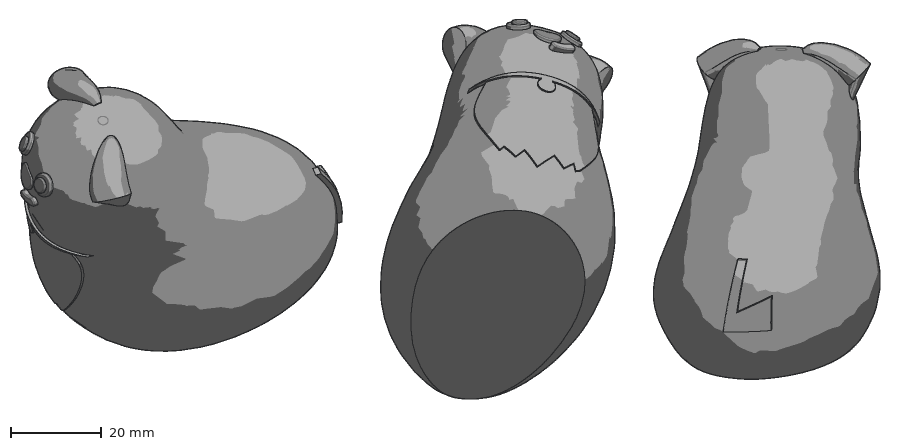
import cadquery as cq
import math

BODY_STATIONS = [
    (0.0, -23.8, -1.3, 30.4, 18.3, 1.92),
    (3.0, -26.6, -1.0, 32.5, 21.1, 1.95),
    (7.0, -29.2, -0.5, 34.4, 23.2, 1.98),
    (13.0, -31.7, -0.2, 35.4, 24.49, 2.1),
    (20.0, -33.0, -1.1, 34.8, 23.3, 2.15),
    (26.0, -33.4, -2.7, 32.0, 21.1, 2.2),
    (31.0, -33.7, -4.8, 27.8, 19.3, 2.2),
    (35.0, -34.1, -8.2, 21.0, 18.2, 2.2),
    (38.0, -34.4, -12.1, 13.0, 17.8, 2.2),
    (41.5, -34.9, -15.6, 6.2, 17.6, 2.2),
    (47.0, -35.2, -17.6, 2.3, 17.1, 2.2),
    (53.0, -33.9, -18.3, -0.6, 15.9, 2.2),
    (58.0, -30.5, -18.0, -3.9, 13.4, 2.2),
    (61.0, -26.9, -17.8, -7.6, 10.0, 2.15),
    (62.6, -22.9, -17.7, -11.8, 6.0, 2.1),
    (63.1, -18.6, -17.6, -16.4, 1.2, 2.0),
]
SECTION_POINTS = 16

FRONT_PLANE = -45.0
FRONT_REACH = 30.0
BACK_PLANE = 45.0
BACK_REACH = 20.0

BIB_RAISE = 0.3
BIB_HALF_WIDTH = 14.3
BIB_TOP_HALF_WIDTH = 12.3
BIB_TOP = 35.6
BIB_WIDEST = 25.5
BIB_HEM = 11.8
BIB_HEM_HALF_WIDTH = 9.3
BIB_RAGGED_HEM = [
    (-8.5, 12.6), (-5.8, 10.1), (-4.1, 11.8), (-0.8, 8.4),
    (2.7, 12.1), (5.3, 10.1), (7.5, 12.4), (8.2, 11.0),
]

COLLAR_RAISE = 0.6
COLLAR_HALF_WIDTH = 15.1
COLLAR_END = 36.1
COLLAR_TOP_MID = 35.7
COLLAR_BOTTOM_MID = 34.4
TAG_DIAMETER = 4.1
TAG_HEIGHT = 32.8
TAG_NECK_WIDTH = 2.0

TAIL_RAISE = 1.25
TAIL_OUTLINE = [
    (-1.2, 27.4), (0.8, 27.4), (3.3, 12.0),
    (-7.2, 12.5), (-7.2, 20.0), (0.2, 16.5),
]

EYE_CENTER = (6.0, -32.6, 53.2)
EYE_NORMAL = (0.3, -0.82, 0.44)
EYE_DIAMETER = 5.3
EYE_HEIGHT = 1.0
EYE_ROUND = 0.4
PUPIL_DIAMETER = 3.5
PUPIL_HEIGHT = 0.6
PUPIL_ROUND = 0.25
PUPIL_SHIFT = 0.3
PUPIL_DROP = 0.25
FACE_ROOT = 2.0

NOSE_CENTER = (0.0, -34.6, 49.4)
NOSE_NORMAL = (0.0, -0.95, 0.3)
NOSE_HALF_WIDTH = 3.2
NOSE_TOP = 2.2
NOSE_CORNER = 1.5
NOSE_HEIGHT = 0.75
NOSE_ROUND = 0.3

MOUTH_CENTER = (3.2, -34.94, 46.35)
MOUTH_NORMAL = (0.2, -0.97, 0.05)
MOUTH_HALF_SPAN = 2.2
MOUTH_SAG = 0.35
MOUTH_TILT = 23.0
MOUTH_WIDTH = 1.9
MOUTH_HEIGHT = 1.15
MOUTH_ROUND = 0.3

EAR_STATIONS = [
    ((5.0, -17.3, 62.7), (0.9, -0.2, 0.4), 1.0, 0.7),
    ((8.5, -18.6, 62.22), (1.0, -0.1, 0.1), 2.8, 2.5),
    ((13.0, -20.3, 59.9), (0.9, 0.0, -0.4), 4.2, 3.4),
    ((16.95, -20.6, 57.4), (0.7, 0.0, -0.7), 4.4, 3.3),
]
EAR_TIP = ((15.0, -17.6, 51.9), (0.1, 0.0, -1.0), 1.4, 0.9)


def superellipse_arm(ratio, squareness):
    """Signed coordinate of a unit superellipse from a sine or cosine."""
    return math.copysign(abs(ratio) ** (2 / squareness), ratio)


def body_section(station, grow):
    """Closed egg-shaped section, two half superellipses joined at the widest point."""
    height, front, widest, back, half_width, squareness = station
    points = []
    for i in range(SECTION_POINTS):
        angle = 2 * math.pi * i / SECTION_POINTS
        across = superellipse_arm(math.sin(angle), squareness)
        along = superellipse_arm(math.cos(angle), squareness)
        length = back - widest if along > 0 else widest - front
        x = (half_width + grow) * across
        y = widest + (length + grow) * along
        points.append(cq.Vector(x, y, height))
    return cq.Wire.assembleEdges([cq.Edge.makeSpline(points, periodic=True)])


def make_body(grow=0.0):
    """Body and head in one skin; grow thickens it sideways."""
    sections = [body_section(station, grow) for station in BODY_STATIONS]
    return cq.Workplane(cq.Solid.makeLoft(sections))


def front_plane():
    """Plane ahead of the body, its normal along +Y and its local Y up."""
    return cq.Workplane(cq.Plane((0, FRONT_PLANE, 0), (-1, 0, 0), (0, 1, 0)))


def raised_skin(cutter, raise_by):
    """Skin patch standing proud of the body inside a cutter."""
    return make_body(raise_by).intersect(cutter)


def mirrored(points):
    """Points for the front plane, whose local X runs along -X."""
    return [(-x, z) for x, z in points]


def make_bib():
    """Chest bib with round sides and a ragged hem."""
    outline = (
        front_plane()
        .moveTo(BIB_TOP_HALF_WIDTH, BIB_TOP)
        .spline([(BIB_HALF_WIDTH, BIB_WIDEST), (BIB_HEM_HALF_WIDTH, BIB_HEM)], includeCurrent=True)
    )
    for point in mirrored(BIB_RAGGED_HEM):
        outline = outline.lineTo(*point)
    outline = (
        outline.lineTo(-BIB_HEM_HALF_WIDTH, BIB_HEM)
        .spline([(-BIB_HALF_WIDTH, BIB_WIDEST), (-BIB_TOP_HALF_WIDTH, BIB_TOP)], includeCurrent=True)
        .close()
    )
    return raised_skin(outline.extrude(FRONT_REACH), BIB_RAISE)


def make_collar():
    """Crescent band under the chin with a round tag hanging from it."""
    band = (
        front_plane()
        .moveTo(-COLLAR_HALF_WIDTH, COLLAR_END)
        .threePointArc((0, COLLAR_BOTTOM_MID), (COLLAR_HALF_WIDTH, COLLAR_END))
        .threePointArc((0, COLLAR_TOP_MID), (-COLLAR_HALF_WIDTH, COLLAR_END))
        .close()
        .extrude(FRONT_REACH)
    )
    tag = front_plane().center(0, TAG_HEIGHT).circle(TAG_DIAMETER / 2).extrude(FRONT_REACH)
    neck = (
        front_plane()
        .center(0, COLLAR_BOTTOM_MID)
        .rect(TAG_NECK_WIDTH, TAG_DIAMETER / 2)
        .extrude(FRONT_REACH)
    )
    return raised_skin(band.union(tag).union(neck), COLLAR_RAISE)


def make_tail():
    """Bent tail lying on the rump."""
    plane = cq.Plane((0, BACK_PLANE, 0), (1, 0, 0), (0, -1, 0))
    cutter = cq.Workplane(plane).polyline(TAIL_OUTLINE).close().extrude(BACK_REACH)
    return raised_skin(cutter, TAIL_RAISE)


def face_plane(center, normal, depth):
    """Plane tilted with the face, sunk below its surface by depth."""
    direction = cq.Vector(*normal).normalized()
    origin = cq.Vector(*center) - direction * depth
    across = cq.Vector(0, 0, 1).cross(direction)
    return cq.Workplane(cq.Plane(origin, across, direction))


def make_eye(side):
    """Eye disc with a smaller pupil on it; side is -1 or 1 along X."""
    center = (side * EYE_CENTER[0], EYE_CENTER[1], EYE_CENTER[2])
    normal = (side * EYE_NORMAL[0], EYE_NORMAL[1], EYE_NORMAL[2])
    disc = (
        face_plane(center, normal, FACE_ROOT)
        .circle(EYE_DIAMETER / 2)
        .extrude(FACE_ROOT + EYE_HEIGHT)
        .edges("<Y").fillet(EYE_ROUND)
    )
    pupil = (
        face_plane(center, normal, FACE_ROOT)
        .center(-side * PUPIL_SHIFT, -PUPIL_DROP)
        .circle(PUPIL_DIAMETER / 2)
        .extrude(FACE_ROOT + EYE_HEIGHT + PUPIL_HEIGHT)
        .edges("<Y").fillet(PUPIL_ROUND)
    )
    return disc.union(pupil)


def make_nose():
    """Nose pad: flat top, rounded corners and a half-round chin."""
    corner_start = NOSE_HALF_WIDTH - NOSE_CORNER
    corner_end = NOSE_TOP - NOSE_CORNER
    return (
        face_plane(NOSE_CENTER, NOSE_NORMAL, FACE_ROOT)
        .moveTo(-corner_start, NOSE_TOP)
        .lineTo(corner_start, NOSE_TOP)
        .tangentArcPoint((NOSE_HALF_WIDTH, corner_end), relative=False)
        .threePointArc((0, corner_end - NOSE_HALF_WIDTH), (-NOSE_HALF_WIDTH, corner_end))
        .tangentArcPoint((-corner_start, NOSE_TOP), relative=False)
        .close()
        .extrude(FACE_ROOT + NOSE_HEIGHT)
        .faces("<Y").edges().fillet(NOSE_ROUND)
    )


def make_mouth():
    """Crooked smile, a round-ended bar that follows an arc."""
    return (
        face_plane(MOUTH_CENTER, MOUTH_NORMAL, FACE_ROOT)
        .transformed(rotate=(0, 0, MOUTH_TILT))
        .moveTo(-MOUTH_HALF_SPAN, 0)
        .threePointArc((0, -MOUTH_SAG), (MOUTH_HALF_SPAN, 0))
        .wire()
        .offset2D(MOUTH_WIDTH / 2)
        .extrude(FACE_ROOT + MOUTH_HEIGHT)
        .faces("<Y").edges().fillet(MOUTH_ROUND)
    )


def ear_section(station):
    """Oval section of the ear, its long radius lying along Y."""
    center, axis, radius_y, radius_across = station
    return cq.Wire.makeEllipse(
        radius_y, radius_across, cq.Vector(*center), cq.Vector(*axis), cq.Vector(0, 1, 0)
    )


def make_ear():
    """Folded ear on the +X side with a tapering lobe below it."""
    flap = cq.Solid.makeLoft([ear_section(station) for station in EAR_STATIONS])
    lobe = cq.Solid.makeLoft([ear_section(EAR_STATIONS[-1]), ear_section(EAR_TIP)], True)
    return cq.Workplane(flap).union(cq.Workplane(lobe))


ear = make_ear()
details = [
    make_bib(),
    make_collar(),
    make_tail(),
    make_nose(),
    make_mouth(),
    make_eye(-1),
    make_eye(1),
    ear,
    ear.mirror("YZ"),
]
puppy = make_body().val().fuse(*[detail.val() for detail in details])
result = cq.Workplane(puppy.Solids()[0])